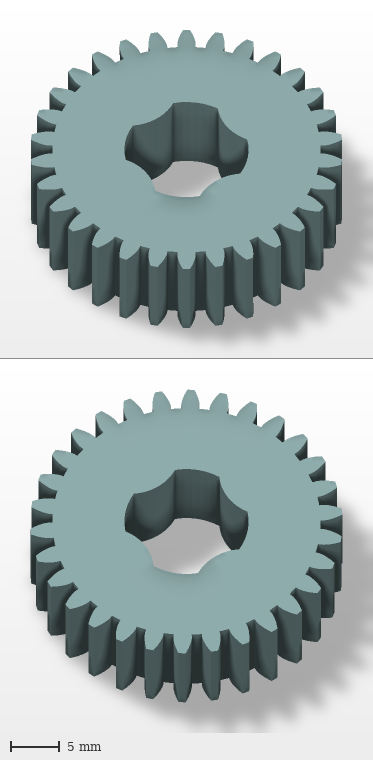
import cadquery as cq
import math

tip_diameter = 32.0
face_width = 9.37
tooth_count = 30
pressure_angle = math.radians(20)
dedendum_ratio = 1.25
flank_steps = 6

bore_radius = 6.37
key_half_width = 2.55
key_tip_radius = 5.15
key_count = 4

module = tip_diameter / (tooth_count + 2)
tip_radius = tip_diameter / 2
pitch_radius = module * tooth_count / 2
root_radius = pitch_radius - dedendum_ratio * module
base_radius = pitch_radius * math.cos(pressure_angle)
tooth_pitch = 2 * math.pi / tooth_count


def polar(radius, angle):
    return (radius * math.cos(angle), radius * math.sin(angle))


def involute(angle):
    return math.tan(angle) - angle


base_half_angle = tooth_pitch / 4 + involute(pressure_angle)


def half_tooth_angle(radius):
    """Half the angle spanned by a tooth at a radius between base and tip."""
    return base_half_angle - involute(math.acos(base_radius / radius))


def flank_points(center_angle, side):
    """Points from base to tip on one flank; side is -1 or +1."""
    step = (tip_radius - base_radius) / flank_steps
    radii = [base_radius + step * i for i in range(flank_steps)] + [tip_radius]
    return [polar(r, center_angle + side * half_tooth_angle(r)) for r in radii]


def gear_blank():
    """Toothed disc with one tooth centered on +X and radial flanks below the base circle."""
    outline = cq.Workplane("XY").moveTo(*polar(root_radius, -base_half_angle))
    for i in range(tooth_count):
        center = i * tooth_pitch
        rising = flank_points(center, -1)
        falling = flank_points(center, 1)[::-1]
        next_root = center + tooth_pitch - base_half_angle
        outline = (
            outline.lineTo(*rising[0])
            .spline(rising[1:], includeCurrent=True)
            .threePointArc(polar(tip_radius, center), falling[0])
            .spline(falling[1:], includeCurrent=True)
            .lineTo(*polar(root_radius, center + base_half_angle))
            .threePointArc(
                polar(root_radius, center + tooth_pitch / 2),
                polar(root_radius, next_root),
            )
        )
    return outline.close().extrude(face_width)


def keyed_bore():
    """Through-bore tool, its wall alternating between key crests and the bore circle."""
    key_half_angle = math.asin(key_half_width / bore_radius)
    key_pitch = 2 * math.pi / key_count
    outline = cq.Workplane("XY").moveTo(*polar(bore_radius, -key_half_angle))
    for i in range(key_count):
        center = i * key_pitch
        outline = outline.threePointArc(
            polar(key_tip_radius, center),
            polar(bore_radius, center + key_half_angle),
        ).threePointArc(
            polar(bore_radius, center + key_pitch / 2),
            polar(bore_radius, center + key_pitch - key_half_angle),
        )
    return outline.close().extrude(face_width)


result = gear_blank().cut(keyed_bore())